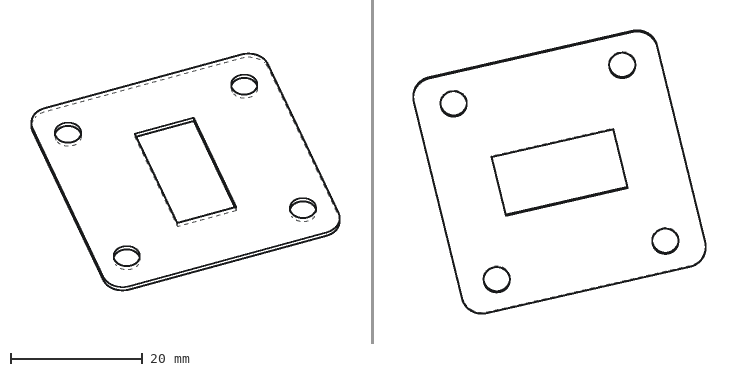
import cadquery as cq

plate_side = 38.0
plate_thickness = 0.8
corner_radius = 3.1

window_length = plate_side / 2
window_width = plate_side / 4

hole_diameter = 4.0
hole_spacing_x = 26.35
hole_spacing_y = 28.45


def make_plate():
    """Flat plate with rounded corners, centred on the origin."""
    plate = cq.Workplane("XY").box(plate_side, plate_side, plate_thickness)
    return plate.edges("|Z").fillet(corner_radius)


def cut_window(plate):
    """Cut the sharp-cornered window through the plate."""
    return plate.faces(">Z").workplane().rect(window_length, window_width).cutThruAll()


def drill_mounting_holes(plate):
    """Drill a through hole near each corner."""
    hole_centres = plate.faces(">Z").workplane().rarray(hole_spacing_x, hole_spacing_y, 2, 2)
    return hole_centres.hole(hole_diameter)


result = drill_mounting_holes(cut_window(make_plate()))